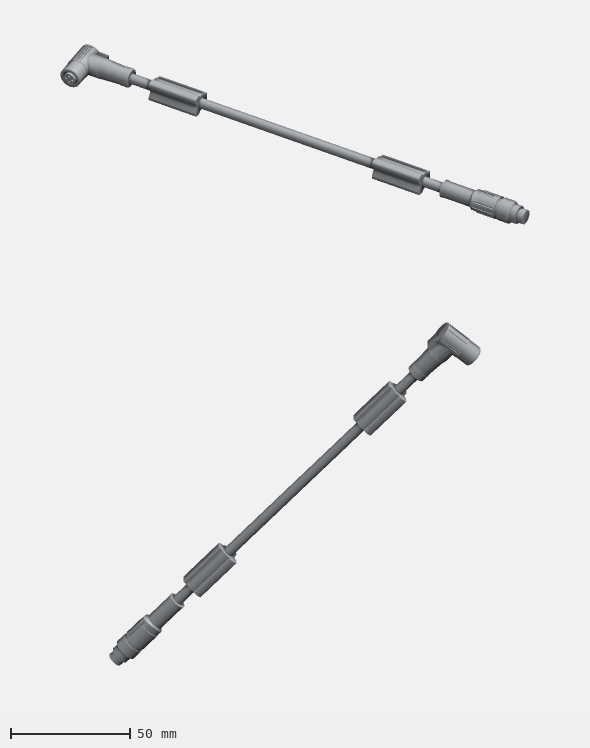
import cadquery as cq
import math


TOTAL_LENGTH = 216.6
CABLE_RADIUS = 2.25
HEAD_RADIUS = 4.85

HEAD_X = HEAD_RADIUS
HEAD_BACK_Y = 5.85
HEAD_FRONT_Y = -5.9
SOCKET_RADIUS = 4.65
SOCKET_END_Y = -12.5
SOCKET_CHAMFER = 0.3
INSERT_END_Y = -13.09
INSERT_RADIUS = 2.7
SOCKET_GAP_RADIUS = 3.4
SOCKET_GAP_DEPTH = 2.0
CONTACT_RADIUS = 0.5
CONTACT_CIRCLE_RADIUS = 1.5
CONTACT_DEPTH = 3.0
CONTACT_COUNT = 4

HEAD_GROOVE_WIDTH = 0.6
HEAD_GROOVE_DEPTH = 0.4
HEAD_GROOVE_ANGLES_EACH_SIDE = (36.0, 78.0, 90.0, 102.0)
HEAD_GROOVE_END_MARGIN = 0.6

ARM_BLOCK_END_X = 14.3
ARM_BLOCK_HALF_WIDTH = 4.9
ARM_BLOCK_HALF_HEIGHT = 4.35
ARM_CONE_END_X = 23.9
ARM_CONE_START_RADIUS = 4.5
ARM_CONE_END_RADIUS = 4.0
ARM_COLLAR_END_X = 27.5
ARM_COLLAR_RADIUS = 4.2
ARM_COLLAR_FILLET = 0.5
THUMB_START_X = 7.7
THUMB_END_X = 13.3
THUMB_TOP_Y = 6.1
THUMB_HALF_HEIGHT = 2.6

CLIP_LENGTH = 22.5
CLIP_STARTS_X = (38.3, 145.3)
CLIP_TUBE_RADIUS = 3.9
CLIP_PLATE_Y = (3.4, 5.2)
CLIP_PLATE_CHAMFER = 0.5
CLIP_PLATE_HALF_HEIGHT = 2.3
CLIP_JAW_BACK_Y = -1.2
CLIP_JAW_ROOT_Y = -0.5
CLIP_JAW_CREST_Y = -2.4
CLIP_JAW_FRONT_Y = -4.65
CLIP_JAW_HALF_HEIGHT = 4.9
CLIP_JAW_CROWN_DROP = 0.2
CLIP_JAW_ROUNDING = 1.2
CLIP_SLOT_FLOOR_Y = -3.3
CLIP_SLOT_FLOOR_HALF_WIDTH = 0.5
CLIP_SLOT_FLANK_ANGLE = 30.0

SLEEVE_START_X = 177.3
SLEEVE_RADIUS = 3.7
SLEEVE_LIP_LENGTH = 0.8
SLEEVE_LIP_RADIUS = 3.9
GRIP_START_X = 191.4
GRIP_RADIUS = 5.0
GRIP_TAPER = 1.4
GRIP_END_X = 203.7
GRIP_RIB_START_X = 195.0
GRIP_SHOULDER_HALF_HEIGHT = 4.3
NECK_RADIUS = 4.5
NUT_START_X = 205.2
NUT_END_X = 210.6
NUT_CHAMFER = 0.7
THREAD_END_X = 213.5
THREAD_RADIUS = 4.0
RELIEF_RADIUS = 2.9
RELIEF_LENGTH = 0.7
NOSE_RADIUS = 3.2

GRIP_GROOVE_HEIGHTS = (-2.4, 0.0, 2.4)
GRIP_GROOVE_WIDTH = 0.6
GRIP_GROOVE_DEPTH = 0.4
GRIP_GROOVE_LEAD = 1.5
GRIP_GROOVE_MARGIN = 0.4
WINDOW_LENGTH = 6.2
WINDOW_WIDTH = 2.2
WINDOW_DEPTH = 0.5


def cylinder_along_x(start_x, end_x, radius):
    return cq.Workplane("YZ", origin=(start_x, 0, 0)).circle(radius).extrude(end_x - start_x)


def cylinder_along_y(start_y, end_y, radius):
    disc = cq.Workplane("XZ", origin=(HEAD_X, start_y, 0)).circle(radius)
    return disc.extrude(start_y - end_y)


def box_between(x_range, y_range, z_range):
    """Box spanning the given ranges."""
    spans = (x_range, y_range, z_range)
    size = [high - low for low, high in spans]
    low_corner = tuple(low for low, high in spans)
    return cq.Workplane("XY").box(*size, centered=False).translate(low_corner)


def head_grooves():
    """Straight grooves along the elbow head: one facing -X and mirrored pairs above and below it."""
    y_range = (HEAD_FRONT_Y + HEAD_GROOVE_END_MARGIN, HEAD_BACK_Y - HEAD_GROOVE_END_MARGIN)
    half_width = HEAD_GROOVE_WIDTH / 2
    groove = box_between(
        (HEAD_X - 2 * HEAD_RADIUS, HEAD_X - HEAD_RADIUS + HEAD_GROOVE_DEPTH),
        y_range,
        (-half_width, half_width),
    )
    grooves = groove
    for angle in HEAD_GROOVE_ANGLES_EACH_SIDE:
        for signed_angle in (-angle, angle):
            grooves = grooves.union(groove.rotate((HEAD_X, 0, 0), (HEAD_X, 1, 0), signed_angle))
    return grooves


def elbow_head():
    head = cylinder_along_y(HEAD_BACK_Y, HEAD_FRONT_Y, HEAD_RADIUS)
    return head.cut(head_grooves())


def socket():
    """Round socket with a recessed ring round a contact insert."""
    sleeve = cylinder_along_y(HEAD_FRONT_Y, SOCKET_END_Y, SOCKET_RADIUS)
    sleeve = sleeve.faces("<Y").edges().chamfer(SOCKET_CHAMFER)
    gap = cylinder_along_y(SOCKET_END_Y + SOCKET_GAP_DEPTH, SOCKET_END_Y, SOCKET_GAP_RADIUS)
    insert = cylinder_along_y(HEAD_FRONT_Y, INSERT_END_Y, INSERT_RADIUS)
    contacts = (
        cq.Workplane("XZ", origin=(HEAD_X, INSERT_END_Y + CONTACT_DEPTH, 0))
        .polarArray(CONTACT_CIRCLE_RADIUS, 0, 360, CONTACT_COUNT)
        .circle(CONTACT_RADIUS)
        .extrude(CONTACT_DEPTH)
    )
    return sleeve.cut(gap).union(insert).cut(contacts)


def elbow_arm():
    block = (
        cq.Workplane("YZ", origin=(HEAD_X, 0, 0))
        .ellipse(ARM_BLOCK_HALF_WIDTH, ARM_BLOCK_HALF_HEIGHT)
        .extrude(ARM_BLOCK_END_X - HEAD_X)
    )
    cone = (
        cq.Workplane("YZ", origin=(ARM_BLOCK_END_X, 0, 0))
        .circle(ARM_CONE_START_RADIUS)
        .workplane(offset=ARM_CONE_END_X - ARM_BLOCK_END_X)
        .circle(ARM_CONE_END_RADIUS)
        .loft()
    )
    collar = cylinder_along_x(ARM_CONE_END_X, ARM_COLLAR_END_X, ARM_COLLAR_RADIUS)
    collar = collar.faces(">X").edges().fillet(ARM_COLLAR_FILLET)
    thumb = box_between(
        (THUMB_START_X, THUMB_END_X),
        (0, THUMB_TOP_Y),
        (-THUMB_HALF_HEIGHT, THUMB_HALF_HEIGHT),
    )
    return block.union(cone).union(collar).union(thumb)


def clip_jaw():
    """Upper half of the jaw: crowned top, rounded corner and flank of the V slot."""
    slot_depth = CLIP_SLOT_FLOOR_Y - CLIP_JAW_FRONT_Y
    slot_flank_height = slot_depth / math.tan(math.radians(CLIP_SLOT_FLANK_ANGLE))
    slot_half_width = CLIP_SLOT_FLOOR_HALF_WIDTH + slot_flank_height
    shoulder_z = CLIP_JAW_HALF_HEIGHT - CLIP_JAW_CROWN_DROP
    rounding_y = CLIP_JAW_FRONT_Y + CLIP_JAW_ROUNDING
    rounding_z = shoulder_z - CLIP_JAW_ROUNDING
    rounding_reach = CLIP_JAW_ROUNDING * math.sqrt(0.5)
    return (
        cq.Workplane("YZ")
        .moveTo(CLIP_JAW_ROOT_Y, 0)
        .lineTo(CLIP_JAW_ROOT_Y, CLIP_TUBE_RADIUS)
        .lineTo(CLIP_JAW_BACK_Y, shoulder_z)
        .threePointArc((CLIP_JAW_CREST_Y, CLIP_JAW_HALF_HEIGHT), (rounding_y, shoulder_z))
        .threePointArc(
            (rounding_y - rounding_reach, rounding_z + rounding_reach),
            (CLIP_JAW_FRONT_Y, rounding_z),
        )
        .lineTo(CLIP_JAW_FRONT_Y, slot_half_width)
        .lineTo(CLIP_SLOT_FLOOR_Y, CLIP_SLOT_FLOOR_HALF_WIDTH)
        .lineTo(CLIP_SLOT_FLOOR_Y, 0)
        .close()
        .extrude(CLIP_LENGTH)
    )


def marker_clip(start_x):
    """Tube on the cable with a back plate on +Y and a V-slotted jaw on -Y."""
    tube = cylinder_along_x(0, CLIP_LENGTH, CLIP_TUBE_RADIUS)
    plate = box_between(
        (0, CLIP_LENGTH),
        CLIP_PLATE_Y,
        (-CLIP_PLATE_HALF_HEIGHT, CLIP_PLATE_HALF_HEIGHT),
    )
    plate = plate.faces(">Y").edges("|X").chamfer(CLIP_PLATE_CHAMFER)
    upper_jaw = clip_jaw()
    jaws = upper_jaw.union(upper_jaw.mirror("XY"))
    slot_clearance = box_between(
        (0, CLIP_LENGTH),
        (-CLIP_TUBE_RADIUS, CLIP_SLOT_FLOOR_Y),
        (-CLIP_TUBE_RADIUS, CLIP_TUBE_RADIUS),
    )
    return tube.cut(slot_clearance).union(plate).union(jaws).translate((start_x, 0, 0))


def plug_body():
    """Turned body of the straight plug: sleeve, grip, neck, nut, thread and nose."""
    lip_end_x = SLEEVE_START_X + SLEEVE_LIP_LENGTH
    outline = [
        (SLEEVE_START_X, 0),
        (SLEEVE_START_X, SLEEVE_LIP_RADIUS),
        (lip_end_x, SLEEVE_LIP_RADIUS),
        (lip_end_x, SLEEVE_RADIUS),
        (GRIP_START_X, SLEEVE_RADIUS),
        (GRIP_START_X + GRIP_TAPER, GRIP_RADIUS),
        (GRIP_END_X, GRIP_RADIUS),
        (GRIP_END_X, NECK_RADIUS),
        (NUT_START_X, NECK_RADIUS),
        (NUT_START_X, GRIP_RADIUS),
        (NUT_END_X - NUT_CHAMFER, GRIP_RADIUS),
        (NUT_END_X, GRIP_RADIUS - NUT_CHAMFER),
        (NUT_END_X, THREAD_RADIUS),
        (THREAD_END_X, THREAD_RADIUS),
        (THREAD_END_X, RELIEF_RADIUS),
        (THREAD_END_X + RELIEF_LENGTH, RELIEF_RADIUS),
        (THREAD_END_X + RELIEF_LENGTH, NOSE_RADIUS),
        (TOTAL_LENGTH, NOSE_RADIUS),
        (TOTAL_LENGTH, 0),
    ]
    return cq.Workplane("XY").polyline(outline).close().revolve(360, (0, 0, 0), (1, 0, 0))


def grip_cuts():
    """Oval shoulder, grooves on both sides and the top window of the plug grip."""
    shoulder_length = GRIP_RIB_START_X - GRIP_START_X
    shoulder_plane = cq.Workplane("YZ", origin=(GRIP_START_X, 0, 0))
    shoulder = shoulder_plane.ellipse(GRIP_RADIUS, GRIP_SHOULDER_HALF_HEIGHT).extrude(shoulder_length)
    cuts = cylinder_along_x(GRIP_START_X, GRIP_RIB_START_X, 2 * GRIP_RADIUS).cut(shoulder)

    groove_x = (GRIP_RIB_START_X - GRIP_GROOVE_LEAD, GRIP_END_X - GRIP_GROOVE_MARGIN)
    for height in GRIP_GROOVE_HEIGHTS:
        surface_y = math.sqrt(GRIP_RADIUS**2 - height**2)
        z_range = (height - GRIP_GROOVE_WIDTH / 2, height + GRIP_GROOVE_WIDTH / 2)
        groove = box_between(groove_x, (surface_y - GRIP_GROOVE_DEPTH, GRIP_RADIUS), z_range)
        cuts = cuts.union(groove).union(groove.mirror("XZ"))

    window = box_between(
        (GRIP_RIB_START_X, GRIP_RIB_START_X + WINDOW_LENGTH),
        (-WINDOW_WIDTH / 2, WINDOW_WIDTH / 2),
        (GRIP_RADIUS - WINDOW_DEPTH, GRIP_RADIUS),
    )
    return cuts.union(window)


result = cylinder_along_x(ARM_CONE_END_X, GRIP_START_X, CABLE_RADIUS)
result = result.union(elbow_head().union(elbow_arm()).union(socket()))
for clip_start_x in CLIP_STARTS_X:
    result = result.union(marker_clip(clip_start_x))
result = result.union(plug_body().cut(grip_cuts()))